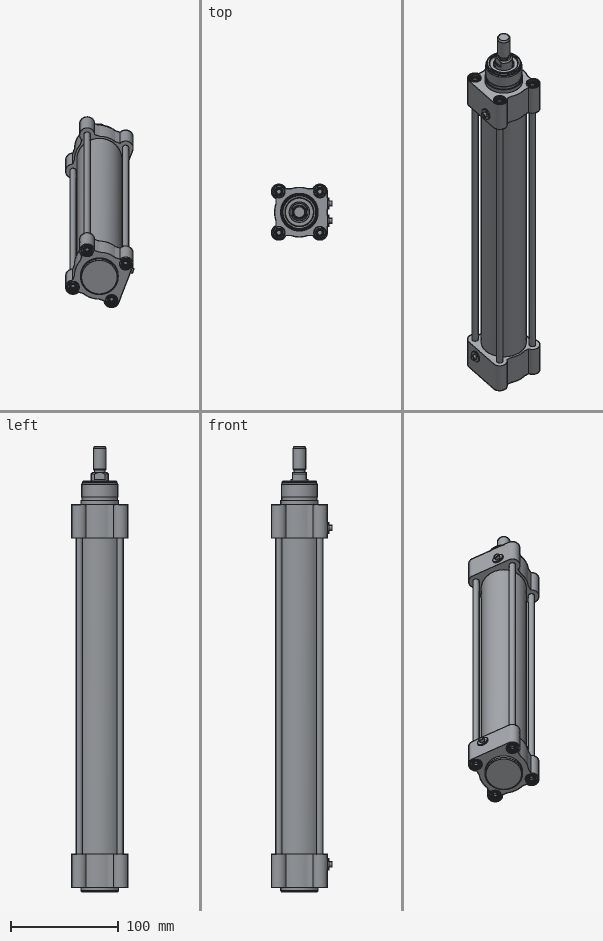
import cadquery as cq

CAPS_SPAN = 355.0
CAP_HEIGHT = 31.0
REAR_SPIGOT_HEIGHT = 4.0
ROD_SHOULDER_HEIGHT = 30.0
THREAD_LENGTH = 24.0

FRONT_FACE_Z = CAPS_SPAN
FRONT_CAP_Z = CAPS_SPAN - CAP_HEIGHT

TIE_PITCH = 38.0
LUG_DIAMETER = 14.0
CAP_HALF_WIDTH = (TIE_PITCH + LUG_DIAMETER) / 2
CAP_FLAT = 21.75
CAP_BULGE_RADIUS = 23.1
SPIGOT_DIAMETER = 35.0
SPIGOT_CHAMFER = 1.0

BARREL_DIAMETER = 42.0

COLLAR_BASE_HEIGHT = 4.0
COLLAR_GROOVE_DIAMETER = 33.0
COLLAR_GROOVE_TOP = 7.0
COLLAR_DIAMETER = 33.5
COLLAR_HEIGHT = 22.0
COLLAR_TOP_DIAMETER = 32.0
COLLAR_TOP_CHAMFER = 0.8
COLLAR_STEP_HEIGHT = 2.0
COLLAR_EDGE_CHAMFER = 1.0
COLLAR_RIM_DIAMETER = 27.0
COLLAR_RECESS_DIAMETER = 26.0
COLLAR_RECESS_DEPTH = 1.0
WIPER_SEAT_DIAMETER = 19.0
WIPER_SEAT_DEPTH = 2.0
WIPER_CONE_DEPTH = 3.0

SCREW_OFFSET_Y = 8.0
SCREW_ROOT_DEPTH = 1.0
SCREW_FROM_INNER_FACE = 9.5
SCREW_FLANGE_DIAMETER = 10.5
SCREW_FLANGE_END_X = 27.3
SCREW_STEM_DIAMETER = 5.0
SCREW_STEM_CHAMFER = 0.35
SCREW_STEM_END_X = 30.39

TIE_DIAMETER = 6.0
TIE_HEAD_DIAMETER = 10.5
TIE_HEAD_CHAMFER = 1.25
TIE_HOLE_CHAMFER = 0.5
TIE_HEAD_HEIGHT = 5.0
TIE_HEAD_RECESS = 1.0
TIE_MOUTH_DIAMETER = 6.0
TIE_MOUTH_DEPTH = 1.0
TIE_SOCKET_DIAMETER = 4.3
TIE_SOCKET_DEPTH = 4.0

ROD_DIAMETER = 16.0
ROD_CHAMFER = 1.5
FLATS_WIDTH = 13.0
FLATS_LENGTH = 6.5
THREAD_DIAMETER = 12.0
THREAD_CHAMFER = 1.0
THREAD_CHAMFER_LENGTH = 2.0
THREAD_RUNOUT = 1.0
RELIEF_DIAMETER = 10.0
RELIEF_LENGTH = 2.0


def cylinder(diameter, z_bottom, z_top):
    return cq.Workplane("XY").workplane(offset=z_bottom).circle(diameter / 2).extrude(z_top - z_bottom)


def tie_points():
    half = TIE_PITCH / 2
    return [(sx * half, sy * half) for sx in (-1, 1) for sy in (-1, 1)]


def make_screw(side, z):
    """Cushioning screw head: a flange with a narrower stem, pointing along +X."""
    start_x = CAP_HALF_WIDTH - SCREW_ROOT_DEPTH
    plane = cq.Plane(origin=(start_x, side * SCREW_OFFSET_Y, z), xDir=(0, 1, 0), normal=(1, 0, 0))
    flange = cq.Workplane(plane).circle(SCREW_FLANGE_DIAMETER / 2).extrude(SCREW_FLANGE_END_X - start_x)
    stem = cq.Workplane(plane).circle(SCREW_STEM_DIAMETER / 2).extrude(SCREW_STEM_END_X - start_x)
    stem = stem.faces(">X").chamfer(SCREW_STEM_CHAMFER)
    return flange.union(stem)


def make_cap(z_bottom):
    """Cap block: recessed flats on three sides, full width on +X, four round lugs."""
    full_face = cq.Workplane("XY").box(
        CAP_FLAT + CAP_HALF_WIDTH, TIE_PITCH, CAP_HEIGHT, centered=(False, True, False)
    ).translate((-CAP_FLAT, 0, z_bottom))
    middle = cq.Workplane("XY").box(
        CAP_FLAT + TIE_PITCH / 2, 2 * CAP_FLAT, CAP_HEIGHT, centered=(False, True, False)
    ).translate((-CAP_FLAT, 0, z_bottom))
    belly = cylinder(2 * CAP_BULGE_RADIUS, z_bottom, z_bottom + CAP_HEIGHT)
    lugs = (
        cq.Workplane("XY").workplane(offset=z_bottom)
        .pushPoints(tie_points()).circle(LUG_DIAMETER / 2).extrude(CAP_HEIGHT)
    )
    return full_face.union(middle).union(belly).union(lugs)


def cut_tie_holes(cap, face_z, outward):
    """Shank holes through the cap and head pockets with a chamfered mouth in its outer face."""
    floor_z = face_z - outward * (TIE_HEAD_RECESS + TIE_HEAD_HEIGHT)
    shank = cylinder(TIE_DIAMETER, 0, CAPS_SPAN)
    pocket = cylinder(TIE_HEAD_DIAMETER, min(face_z, floor_z), max(face_z, floor_z))
    mouth = (
        cq.Workplane("XY").workplane(offset=face_z)
        .circle(TIE_HEAD_DIAMETER / 2 + TIE_HOLE_CHAMFER)
        .workplane(offset=-outward * TIE_HOLE_CHAMFER)
        .circle(TIE_HEAD_DIAMETER / 2).loft()
    )
    for x, y in tie_points():
        for cutter in (shank, pocket, mouth):
            cap = cap.cut(cutter.translate((x, y, 0)))
    return cap


def make_collar():
    """Turned guide collar with a spigot, a groove, a stepped rim and a recessed rod opening."""
    base = FRONT_FACE_Z
    top = base + COLLAR_HEIGHT
    step = top - COLLAR_STEP_HEIGHT
    floor = top - COLLAR_RECESS_DEPTH
    seat = floor - WIPER_SEAT_DEPTH
    profile = [
        (0, base),
        (SPIGOT_DIAMETER / 2, base),
        (SPIGOT_DIAMETER / 2, base + COLLAR_BASE_HEIGHT),
        (COLLAR_GROOVE_DIAMETER / 2, base + COLLAR_BASE_HEIGHT),
        (COLLAR_GROOVE_DIAMETER / 2, base + COLLAR_GROOVE_TOP),
        (COLLAR_DIAMETER / 2, base + COLLAR_GROOVE_TOP),
        (COLLAR_DIAMETER / 2, step - COLLAR_EDGE_CHAMFER),
        (COLLAR_TOP_DIAMETER / 2, step),
        (COLLAR_TOP_DIAMETER / 2, top - COLLAR_TOP_CHAMFER),
        (COLLAR_TOP_DIAMETER / 2 - COLLAR_TOP_CHAMFER, top),
        (COLLAR_RIM_DIAMETER / 2, top),
        (COLLAR_RECESS_DIAMETER / 2, floor),
        (WIPER_SEAT_DIAMETER / 2, floor),
        (WIPER_SEAT_DIAMETER / 2, seat),
        (ROD_DIAMETER / 2, seat - WIPER_CONE_DEPTH),
        (0, seat - WIPER_CONE_DEPTH),
    ]
    return cq.Workplane("XZ").polyline(profile).close().revolve(360, (0, 0, 0), (0, 1, 0))


def make_front_cap():
    cap = make_cap(FRONT_CAP_Z).union(make_collar())
    cap = cap.union(make_screw(1, FRONT_CAP_Z + SCREW_FROM_INNER_FACE))
    cap = cap.cut(cylinder(ROD_DIAMETER, FRONT_CAP_Z, FRONT_FACE_Z + COLLAR_HEIGHT))
    return cut_tie_holes(cap, FRONT_FACE_Z, 1)


def make_rear_cap():
    spigot = cylinder(SPIGOT_DIAMETER, -REAR_SPIGOT_HEIGHT, 0).faces("<Z").chamfer(SPIGOT_CHAMFER)
    cap = make_cap(0).union(spigot)
    cap = cap.union(make_screw(-1, CAP_HEIGHT - SCREW_FROM_INNER_FACE))
    return cut_tie_holes(cap, 0, -1)


def make_barrel():
    """Plain barrel that butts against the inner faces of the caps."""
    return cylinder(BARREL_DIAMETER, CAP_HEIGHT, FRONT_CAP_Z)


def make_tie_head(z_outer, outward):
    """Socket head: chamfered rim around a stepped blind socket."""
    z_inner = z_outer - outward * TIE_HEAD_HEIGHT
    head = cylinder(TIE_HEAD_DIAMETER, min(z_inner, z_outer), max(z_inner, z_outer))
    outer_face = ">Z" if outward > 0 else "<Z"
    head = head.faces(outer_face).chamfer(TIE_HEAD_CHAMFER)
    for diameter, depth in ((TIE_MOUTH_DIAMETER, TIE_MOUTH_DEPTH), (TIE_SOCKET_DIAMETER, TIE_SOCKET_DEPTH)):
        z_floor = z_outer - outward * depth
        head = head.cut(cylinder(diameter, min(z_floor, z_outer), max(z_floor, z_outer)))
    return head


def make_tie_rod(x, y):
    """Tie rod with a socket head sunk in each cap."""
    rear_end = TIE_HEAD_RECESS
    front_end = CAPS_SPAN - TIE_HEAD_RECESS
    shank = cylinder(TIE_DIAMETER, rear_end + TIE_HEAD_HEIGHT, front_end - TIE_HEAD_HEIGHT)
    rod = shank.union(make_tie_head(rear_end, -1)).union(make_tie_head(front_end, 1))
    return rod.translate((x, y, 0))


def make_piston_rod():
    """Rod with two wrench flats, a thread relief and a plain threaded-end cylinder."""
    shoulder = FRONT_FACE_Z + ROD_SHOULDER_HEIGHT
    rod = cylinder(ROD_DIAMETER, FRONT_CAP_Z, shoulder).faces(">Z").chamfer(ROD_CHAMFER)
    flats = cq.Workplane("XY").box(
        ROD_DIAMETER, 2 * ROD_DIAMETER, FLATS_LENGTH, centered=(False, True, False)
    )
    flats = flats.translate((FLATS_WIDTH / 2, 0, shoulder - FLATS_LENGTH))
    rod = rod.cut(flats).cut(flats.mirror("YZ"))
    rod = rod.union(cylinder(RELIEF_DIAMETER, shoulder, shoulder + RELIEF_LENGTH))
    thread = cylinder(THREAD_DIAMETER, shoulder + RELIEF_LENGTH, shoulder + THREAD_LENGTH)
    thread = thread.faces(">Z").chamfer(THREAD_CHAMFER_LENGTH, THREAD_CHAMFER)
    thread = thread.faces("<Z").chamfer(THREAD_RUNOUT)
    return rod.union(thread)


front_cap = make_front_cap()
rear_cap = make_rear_cap()
barrel = make_barrel()
piston_rod = make_piston_rod()
tie_rods = [make_tie_rod(x, y) for x, y in tie_points()]

result = cq.Compound.makeCompound([
    front_cap.val(),
    rear_cap.val(),
    barrel.val(),
    piston_rod.val(),
    *[tie_rod.val() for tie_rod in tie_rods],
])